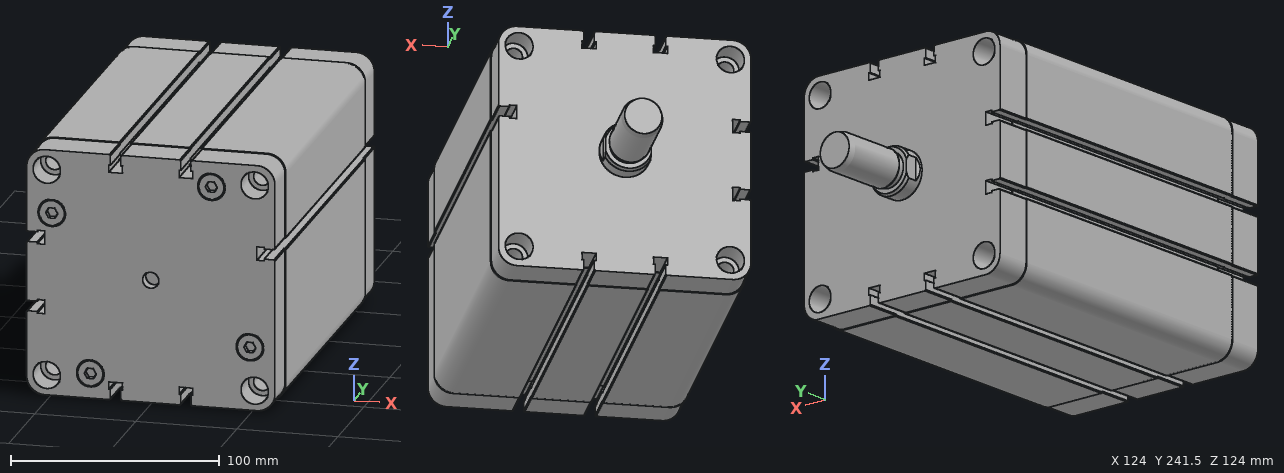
import cadquery as cq
import math

overall_length = 241.5
rod_extension = 50.0
housing_length = overall_length - rod_extension
cap_length = 19.3

barrel_width = 124.0
barrel_corner_radius = 9.5
cap_inset = 0.5
cap_width = barrel_width - 2 * cap_inset
cap_corner_radius = barrel_corner_radius - cap_inset

slot_offset = 17.5
slot_mouth_width = 5.0
slot_inner_width = 6.8
slot_mouth_depth = 5.3
slot_depth = 9.0
slot_lip_bevel = 0.5

slot_pair = (-slot_offset, slot_offset)
slot_layout = (
    (0, slot_pair),
    (90, (-slot_offset,)),
    (180, slot_pair),
    (270, slot_pair),
)

mount_offset = 51.5
mount_hole_diameter = 8.5
mount_counterbore_diameter = 13.5
mount_counterbore_depth = 14.5

screw_long_offset = 49.0
screw_short_offset = 30.0
screw_recess_diameter = 13.5
screw_head_diameter = 12.5
screw_gap_depth = 1.2
hex_socket_size = 5.0
hex_socket_depth = 3.0

centre_hole_diameter = 8.0
centre_hole_depth = 6.0

rod_diameter = 25.0
rod_chamfer_length = 1.7
rod_chamfer_height = 1.0
rod_shoulder = 10.0
neck_diameter = 18.4
thread_start = 13.8
thread_runout = 0.7
thread_diameter = 20.0
tip_diameter = 18.0
tip_chamfer_length = 3.5
flat_width = 22.2
flat_start = 3.0


def along_y(start):
    """Sketch plane for features that start at y = start, with X to the right and Z up."""
    return cq.Workplane("XZ", origin=(0, start, 0))


def make_slot(surface, side_angle, offset, start, length):
    """T-slot cutter for a face at the given height, then turned about Y to its side."""
    half_mouth = slot_mouth_width / 2
    half_inner = slot_inner_width / 2
    right_half = [
        (half_mouth + slot_lip_bevel, surface),
        (half_mouth, surface - slot_lip_bevel),
        (half_mouth, surface - slot_mouth_depth),
        (half_inner, surface - slot_mouth_depth),
        (half_inner, surface - slot_depth),
    ]
    left_half = [(-x, z) for x, z in reversed(right_half)]
    outline = [(offset + x, z) for x, z in right_half + left_half]
    slot = along_y(start).polyline(outline).close().extrude(-length)
    return slot.rotate((0, 0, 0), (0, 1, 0), side_angle)


def slotted_bar(width, corner_radius, start, length):
    """Round-cornered square bar with its slots, running along +Y from y = start."""
    bar = along_y(start).rect(width, width).extrude(-length).edges("|Y").fillet(corner_radius)
    for side_angle, offsets in slot_layout:
        for offset in offsets:
            bar = bar.cut(make_slot(width / 2, side_angle, offset, start, length))
    return bar


def make_housing():
    housing = slotted_bar(barrel_width, barrel_corner_radius, cap_length, housing_length - 2 * cap_length)
    for start in (0, housing_length - cap_length):
        housing = housing.union(slotted_bar(cap_width, cap_corner_radius, start, cap_length))
    return housing


def mount_hole_cutter():
    corners = [(x, z) for x in (-mount_offset, mount_offset) for z in (-mount_offset, mount_offset)]
    cutter = along_y(0).pushPoints(corners).circle(mount_hole_diameter / 2).extrude(-housing_length)
    for start in (0, housing_length - mount_counterbore_depth):
        counterbores = along_y(start).pushPoints(corners).circle(mount_counterbore_diameter / 2)
        cutter = cutter.union(counterbores.extrude(-mount_counterbore_depth))
    return cutter


def screw_cutter():
    """Ring gaps around the flush screw heads and the hexagon sockets in them."""
    centres = [
        (screw_short_offset, screw_long_offset),
        (screw_long_offset, -screw_short_offset),
        (-screw_short_offset, -screw_long_offset),
        (-screw_long_offset, screw_short_offset),
    ]
    rings = along_y(0).pushPoints(centres).circle(screw_recess_diameter / 2)
    rings = rings.circle(screw_head_diameter / 2).extrude(-screw_gap_depth)
    hex_diameter = hex_socket_size / math.cos(math.pi / 6)
    sockets = along_y(0).pushPoints(centres).polygon(6, hex_diameter).extrude(-hex_socket_depth)
    return rings.union(sockets)


def make_rod():
    outline = [
        (0, -cap_length),
        (rod_diameter / 2, -cap_length),
        (rod_diameter / 2, rod_shoulder - rod_chamfer_length),
        (rod_diameter / 2 - rod_chamfer_height, rod_shoulder),
        (neck_diameter / 2, rod_shoulder),
        (neck_diameter / 2, thread_start - thread_runout),
        (thread_diameter / 2, thread_start),
        (thread_diameter / 2, rod_extension - tip_chamfer_length),
        (tip_diameter / 2, rod_extension),
        (0, rod_extension),
    ]
    rod = cq.Workplane("XY").polyline(outline).close().revolve(360, (0, 0, 0), (0, 1, 0))
    for side in (-1, 1):
        inner = side * flat_width / 2
        outer = side * rod_diameter / 2
        run_out = (rod_diameter - flat_width) / 2
        flat = cq.Workplane("XY").polyline([
            (inner, flat_start),
            (outer, flat_start - run_out),
            (outer, rod_shoulder),
            (inner, rod_shoulder),
        ]).close().extrude(rod_diameter / 2, both=True)
        rod = rod.cut(flat)
    return rod.translate((0, housing_length, 0))


housing = make_housing()
housing = housing.cut(mount_hole_cutter())
housing = housing.cut(screw_cutter())
centre_hole = along_y(0).circle(centre_hole_diameter / 2).extrude(-centre_hole_depth)
housing = housing.cut(centre_hole)

result = housing.union(make_rod())